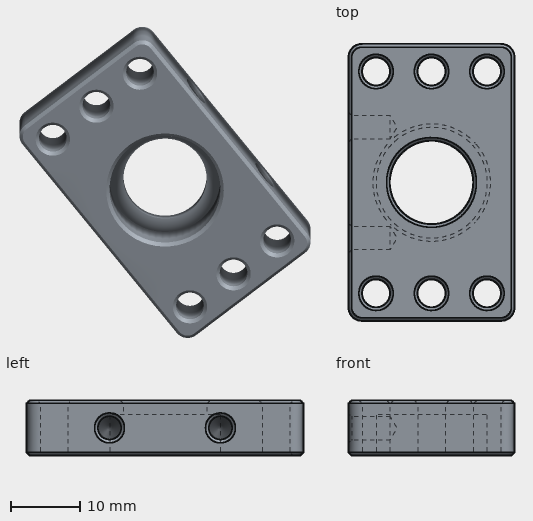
import cadquery as cq
import math

width = 24.0
length = 40.0
thickness = 8.0
corner_radius = 2.0
edge_chamfer = 0.5

bore_diameter = 12.0
seat_diameter = 16.0
seat_lip_thickness = 2.0
mount_diameter = 4.0
mount_pitch = 8.0
mount_row_offset = 16.0

side_diameter = 3.35
side_depth = 6.0
side_offset = 8.0
drill_point_angle = 118.0


def make_plate():
    """Rounded block with its top and bottom outlines chamfered."""
    block = cq.Workplane("XY").box(width, length, thickness)
    block = block.edges("|Z").fillet(corner_radius)
    return block.faces("<Z or >Z").edges().chamfer(edge_chamfer)


def through_hole(x, y, top_diameter, bottom_diameter, step_depth):
    """Cutter along Z, changing diameter at step_depth and flared at both plate faces."""
    half = thickness / 2

    def end_section(side, diameter, length):
        """One end of the cutter, reaching inward from the top (side = 1) or bottom (side = -1) face."""
        radius = diameter / 2
        profile = [
            (0, side * half),
            (radius + edge_chamfer, side * half),
            (radius, side * (half - edge_chamfer)),
            (radius, side * (half - length)),
            (0, side * (half - length)),
        ]
        return cq.Workplane("XZ").polyline(profile).close().revolve(360, (0, 0), (0, 1))

    upper = end_section(1, top_diameter, step_depth)
    lower = end_section(-1, bottom_diameter, thickness - step_depth)
    return upper.union(lower).translate((x, y, 0))


def side_hole(y):
    """Cutter along +X from the -X side, with a flared mouth and a conical drill point."""
    radius = side_diameter / 2
    point_depth = radius / math.tan(math.radians(drill_point_angle / 2))
    profile = [
        (0, 0),
        (0, radius + edge_chamfer),
        (edge_chamfer, radius),
        (side_depth, radius),
        (side_depth + point_depth, 0),
    ]
    cutter = cq.Workplane("XY").polyline(profile).close().revolve(360, (0, 0), (1, 0))
    return cutter.translate((-width / 2, y, 0))


result = make_plate()
result = result.cut(through_hole(0, 0, bore_diameter, seat_diameter, seat_lip_thickness))

for row in (-1, 1):
    row_y = row * mount_row_offset
    for column in (-1, 0, 1):
        mount_hole = through_hole(
            column * mount_pitch, row_y, mount_diameter, mount_diameter, thickness / 2
        )
        result = result.cut(mount_hole)
    result = result.cut(side_hole(row * side_offset))